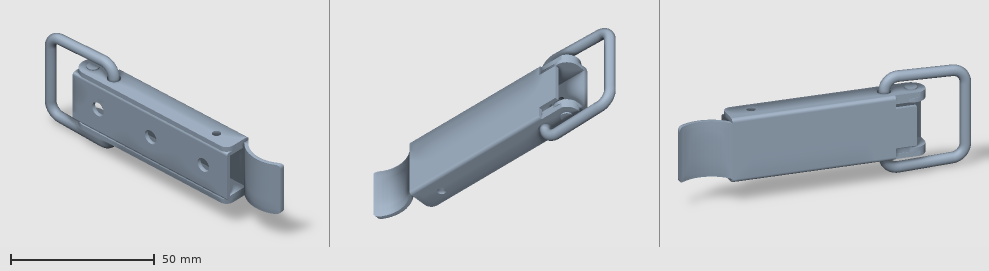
import cadquery as cq
import math


BODY_START = 17.1
BODY_END = 90.3
BODY_DEPTH = 11.0
EAR_RADIUS = 5.0
PIVOT_X = BODY_START + EAR_RADIUS
PIVOT_Y = EAR_RADIUS

BASE_THICKNESS = 1.5
BASE_WIDTH = 20.1
BASE_BEND_RADIUS = 1.1
MOUNT_HOLE_DIAMETER = 5.5
MOUNT_HOLE_FIRST_X = 29.1
MOUNT_HOLE_PITCH = 25.0
MOUNT_HOLE_COUNT = 3
PIVOT_DIAMETER = 4.5
PIVOT_PROTRUSION = 0.5

CHEEK_THICKNESS = 2.0
LEVER_WIDTH = BASE_WIDTH + 2 * CHEEK_THICKNESS
LEVER_WEB_THICKNESS = 1.5
WEB_INNER_Y = BODY_DEPTH - LEVER_WEB_THICKNESS
LEVER_BEND_RADIUS = 1.3
CHEEK_TOP_Y = BODY_DEPTH - LEVER_BEND_RADIUS
CHEEK_CORNER_RADIUS = 3.0
WEB_START = 29.8
TONGUE_WIDTH = 14.8

GRIP_END = 109.1
GRIP_WIDTH = 20.8
GRIP_THICKNESS = 1.4
GRIP_RADIUS = 12.4
GRIP_AXIS_X = 100.6
GRIP_CORNER_RADIUS = 1.5
GRIP_AXIS_Y = BODY_DEPTH + math.sqrt(GRIP_RADIUS**2 - (GRIP_AXIS_X - BODY_END) ** 2)

CROSS_HOLE_DIAMETER = 3.2
CROSS_HOLE_X = 81.0
CROSS_HOLE_Y = 4.6

WIRE_DIAMETER = 4.0
BAIL_OUTER_X = WIRE_DIAMETER / 2
BAIL_INNER_X = 32.1
BAIL_OUTER_HALF_WIDTH = 16.3
BAIL_INNER_HALF_WIDTH = 17.2
BAIL_CORNER_RADIUS = 5.0
BAIL_HOLE_DIAMETER = 5.0


def block(x_start, x_end, y_start, y_end, width):
    """Box between the given X and Y limits, centred across Z."""
    size_x = x_end - x_start
    size_y = y_end - y_start
    return cq.Workplane("XY").box(size_x, size_y, width, centered=(False, False, True)).translate(
        (x_start, y_start, 0)
    )


def cross_cylinder(x, y, diameter, length):
    """Cylinder along Z, centred across Z."""
    return cq.Workplane("XY").center(x, y).circle(diameter / 2).extrude(length / 2, both=True)


def cut_cross_holes(channel):
    """Cut the bail hole and the rear cross hole through both cheeks."""
    bail_hole = cross_cylinder(BAIL_INNER_X, PIVOT_Y, BAIL_HOLE_DIAMETER, LEVER_WIDTH)
    cross_hole = cross_cylinder(CROSS_HOLE_X, CROSS_HOLE_Y, CROSS_HOLE_DIAMETER, LEVER_WIDTH)
    return channel.cut(bail_hole).cut(cross_hole)


def make_base():
    body = block(PIVOT_X, BODY_END, 0, WEB_INNER_Y, BASE_WIDTH)
    body = body.union(block(BODY_START, PIVOT_X, 0, PIVOT_Y, BASE_WIDTH))
    body = body.edges("|X and <Y").fillet(BASE_BEND_RADIUS)
    ear = cross_cylinder(PIVOT_X, PIVOT_Y, 2 * EAR_RADIUS, BASE_WIDTH)
    ear = ear.intersect(block(BODY_START, WEB_START, PIVOT_Y, BODY_DEPTH, BASE_WIDTH))
    body = body.union(ear)

    inside_width = BASE_WIDTH - 2 * BASE_THICKNESS
    body = body.cut(block(BODY_START, BODY_END, BASE_THICKNESS, BODY_DEPTH, inside_width))
    for index in range(MOUNT_HOLE_COUNT):
        hole_x = MOUNT_HOLE_FIRST_X + index * MOUNT_HOLE_PITCH
        hole = cq.Workplane("XZ").center(hole_x, 0).circle(MOUNT_HOLE_DIAMETER / 2)
        body = body.cut(hole.extrude(-BASE_THICKNESS))
    body = cut_cross_holes(body)

    stubs = cross_cylinder(PIVOT_X, PIVOT_Y, PIVOT_DIAMETER, LEVER_WIDTH + 2 * PIVOT_PROTRUSION)
    stubs = stubs.cut(block(BODY_START, WEB_START, 0, BODY_DEPTH, inside_width))
    return body.union(stubs)


def make_grip():
    arc_band = cross_cylinder(
        GRIP_AXIS_X, GRIP_AXIS_Y, 2 * (GRIP_RADIUS + GRIP_THICKNESS), GRIP_WIDTH
    )
    arc_band = arc_band.cut(cross_cylinder(GRIP_AXIS_X, GRIP_AXIS_Y, 2 * GRIP_RADIUS, GRIP_WIDTH))
    outline = block(BODY_END, GRIP_END, 0, BODY_DEPTH, GRIP_WIDTH)
    outline = outline.edges("|Y and >X").fillet(GRIP_CORNER_RADIUS)
    return arc_band.intersect(outline)


def make_lever():
    cheeks = block(PIVOT_X, BODY_END, 0, CHEEK_TOP_Y, LEVER_WIDTH)
    cheeks = cheeks.edges("|Z and >X and <Y").fillet(CHEEK_CORNER_RADIUS)
    round_end = cross_cylinder(PIVOT_X, PIVOT_Y, 2 * EAR_RADIUS, LEVER_WIDTH)
    cheeks = cheeks.union(round_end.intersect(block(BODY_START, PIVOT_X, 0, CHEEK_TOP_Y, LEVER_WIDTH)))
    cheeks = cheeks.cut(block(BODY_START, BODY_END, 0, BODY_DEPTH, BASE_WIDTH))

    web = block(WEB_START, BODY_END, 0, BODY_DEPTH, LEVER_WIDTH)
    web = web.edges("|X and >Y").fillet(LEVER_BEND_RADIUS)
    web = web.cut(block(WEB_START, BODY_END, 0, CHEEK_TOP_Y, LEVER_WIDTH))
    web = web.union(block(WEB_START, BODY_END, WEB_INNER_Y, CHEEK_TOP_Y, BASE_WIDTH))
    tongue = block(PIVOT_X, WEB_START, WEB_INNER_Y, BODY_DEPTH, TONGUE_WIDTH)

    lever = cut_cross_holes(cheeks.union(web).union(tongue))
    lever = lever.cut(cross_cylinder(PIVOT_X, PIVOT_Y, PIVOT_DIAMETER, LEVER_WIDTH))
    return lever.union(make_grip())


def make_bail():
    corners = [
        cq.Vector(BAIL_OUTER_X, PIVOT_Y, -BAIL_OUTER_HALF_WIDTH),
        cq.Vector(BAIL_OUTER_X, PIVOT_Y, BAIL_OUTER_HALF_WIDTH),
        cq.Vector(BAIL_INNER_X, PIVOT_Y, BAIL_INNER_HALF_WIDTH),
        cq.Vector(BAIL_INNER_X, PIVOT_Y, -BAIL_INNER_HALF_WIDTH),
    ]
    loop = cq.Wire.makePolygon(corners, close=True)
    loop = loop.fillet2D(BAIL_CORNER_RADIUS, loop.Vertices())
    section = cq.Workplane("XY", origin=(BAIL_OUTER_X, PIVOT_Y, 0)).circle(WIRE_DIAMETER / 2)
    return section.sweep(cq.Workplane(loop))


base = make_base()
lever = make_lever()
bail = make_bail()
result = cq.Compound.makeCompound([*base.solids().vals(), *lever.solids().vals(), bail.val()])